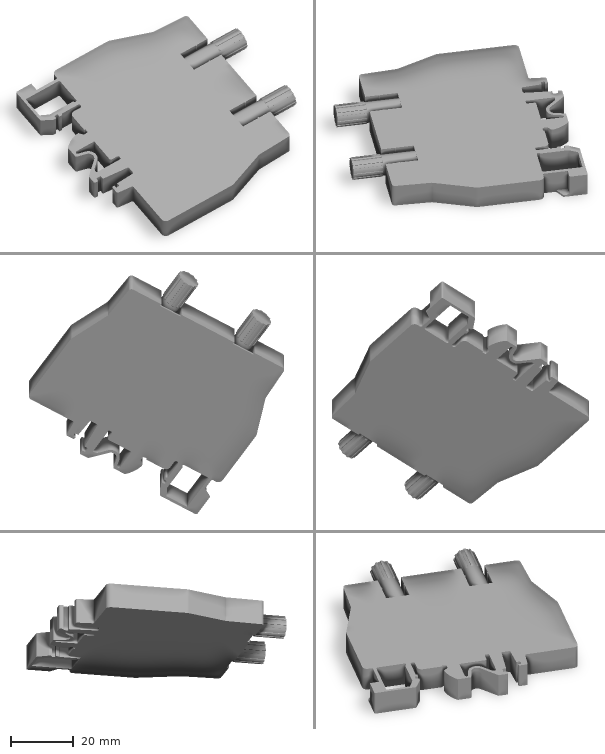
import cadquery as cq
import math


housing_width = 69.5
housing_thickness = 7.9
base_thickness = 0.7
housing_top = 62.1
shoulder_low = 35.8
shoulder_high = 49.45
shoulder_inset = 5.15
top_inset = 5.7
housing_bottom = 9.35
clip_top = 14.0

corner_radius = 1.6
slit_corner_radius = 1.6
top_radius = 1.1
shoulder_radius = 1.8
small_radius = 0.5
groove_radius = 0.3

screw_inset = 21.1
screw_tip = 72.4
knurl_radius = 3.6
shank_radius = 3.3
screw_axis_z = housing_thickness - shank_radius
knurl_length = 9.8
tooth_count = 12
tooth_width = 0.7
tooth_chamfer = knurl_radius - shank_radius
slot_width = 7.6
slot_depth = 10.5
slot_mouth = 0.7
slot_rib_radius = 0.3
slot_rib_depth = 4.5
slot_end = housing_top - slot_depth
screw_centres = (screw_inset, housing_width - screw_inset)

neck_left = 3.05
frame_left = 4.1
frame_right = 13.4
frame_floor = 0.95
hook_outer = 15.35
hook_tip = 15.85
hook_groove_floor = 14.8
hook_groove_low = 4.6
hook_groove_high = 5.9
clip_heel = 13.7
slit_right = 16.7
ledge_top = 9.7
ledge_shoulder = 7.9
ledge_bottom = 5.95
gusset_size = 0.95

foot_floor = 1.0
foot_tip = 24.7
foot_neck = 26.15
cavity_left = 30.25
cavity_right = 40.75
cavity_slot_left = 39.3
cavity_slot_top = 12.45
arch_x = 34.75
arch_y = 4.0
arch_inner_radius = 1.9
spring_thickness = 1.0
arch_outer_radius = arch_inner_radius + spring_thickness
spring_left_angle = 75.0
spring_right_angle = 49.0
pocket_left = 30.7
pocket_floor = 1.95
pocket_right_y = 2.45
heel_floor = 3.0
heel_radius = 1.8

lever_tip = 43.95
lever_groove_floor = 42.7
lever_groove_low = 1.6
lever_groove_high = 3.2
gap_left = 44.9
gap_right = 47.7
gap_top = 12.45
leg_left = 48.3
leg_right = 51.25
leg_root = 51.85
leg_floor = 3.7
leg_groove_floor = 49.3
leg_groove_low = 4.6
leg_groove_high = 5.9


def arch_point(radius, angle_from_top):
    """Point on the spring arch; negative angles lie to the left of the crown."""
    angle = math.radians(angle_from_top)
    return (arch_x + radius * math.sin(angle), arch_y + radius * math.cos(angle))


def leg_point(radius, side_angle, y):
    """Point at height y on the straight spring leg that leaves the arch tangentially."""
    start_x, start_y = arch_point(radius, side_angle)
    return (start_x + (start_y - y) / math.tan(math.radians(side_angle)), y)


def prism(wire, thickness=housing_thickness):
    return wire.close().extrude(thickness)


def box(x0, x1, y0, y1, z0, z1):
    return cq.Workplane("XY").box(x1 - x0, y1 - y0, z1 - z0, centered=False).translate((x0, y0, z0))


def round_corners(body, corners, radius):
    """Fillet the Z-parallel edges that stand at the given XY corners."""
    for x, y in corners:
        reach = 0.035
        picker = cq.selectors.BoxSelector((x - reach, y - reach, -0.7), (x + reach, y + reach, housing_thickness + 0.7))
        body = body.edges("|Z").edges(picker).fillet(radius)
    return body


def make_housing():
    outline = (
        cq.Workplane("XY")
        .moveTo(neck_left, clip_top)
        .lineTo(0, clip_top)
        .lineTo(0, shoulder_low)
        .lineTo(shoulder_inset, shoulder_high)
        .lineTo(top_inset, housing_top)
        .lineTo(housing_width - top_inset, housing_top)
        .lineTo(housing_width - shoulder_inset, shoulder_high)
        .lineTo(housing_width, shoulder_low)
        .lineTo(housing_width, housing_bottom)
        .lineTo(leg_root, housing_bottom)
        .lineTo(leg_right, leg_floor)
        .lineTo(leg_left, leg_floor)
        .lineTo(leg_left, leg_groove_low)
        .lineTo(leg_groove_floor, leg_groove_low)
        .lineTo(leg_groove_floor, leg_groove_high)
        .lineTo(48.1, leg_groove_high)
        .lineTo(gap_right, gap_top)
        .lineTo(gap_left, gap_top)
        .lineTo(44.0, lever_groove_high)
        .lineTo(lever_groove_floor, lever_groove_high)
        .lineTo(lever_groove_floor, lever_groove_low)
        .lineTo(lever_tip, lever_groove_low - 0.2)
        .lineTo(lever_tip, 0)
        .lineTo(*leg_point(arch_inner_radius, spring_right_angle, 0))
        .lineTo(*arch_point(arch_inner_radius, spring_right_angle))
        .threePointArc(arch_point(arch_inner_radius, 0), arch_point(arch_inner_radius, -spring_left_angle))
        .lineTo(*leg_point(arch_inner_radius, -spring_left_angle, foot_floor))
        .lineTo(27.6, foot_floor)
        .threePointArc((25.9, 3.2), (foot_tip, 6.4))
        .lineTo(foot_tip, 7.1)
        .lineTo(foot_neck, 8.1)
        .lineTo(foot_neck, 9.8)
        .lineTo(foot_tip, 9.8)
        .lineTo(foot_tip, housing_bottom)
        .lineTo(slit_right, housing_bottom)
        .lineTo(slit_right, clip_top - 0.7)
        .threePointArc(((slit_right + hook_outer) / 2, clip_top), (hook_outer, clip_top - 0.7))
        .lineTo(hook_outer, 7.2)
        .lineTo(hook_tip, 6.8)
        .lineTo(hook_tip, hook_groove_high)
        .lineTo(hook_groove_floor, hook_groove_high)
        .lineTo(hook_groove_floor, hook_groove_low)
        .lineTo(hook_tip, hook_groove_low)
        .lineTo(hook_tip, 3.55)
        .lineTo(clip_heel, 0)
        .lineTo(0, 0)
        .lineTo(0, ledge_shoulder)
        .lineTo(neck_left, ledge_top)
    )
    body = prism(outline)
    body = round_corners(body, [(0, clip_top), (housing_width, housing_bottom)], corner_radius)
    body = round_corners(body, [(slit_right, housing_bottom)], slit_corner_radius)
    body = round_corners(body, [(top_inset, housing_top), (housing_width - top_inset, housing_top)], top_radius)
    body = round_corners(body, [(0, shoulder_low), (housing_width, shoulder_low)], shoulder_radius)
    small_corners = [
        (neck_left, clip_top),
        (0, 0),
        (clip_heel, 0),
        leg_point(arch_inner_radius, -spring_left_angle, foot_floor),
        leg_point(arch_inner_radius, spring_right_angle, 0),
        (lever_tip, 0),
        (gap_left, gap_top),
        (gap_right, gap_top),
        (leg_left, leg_floor),
        (leg_right, leg_floor),
        (leg_root, housing_bottom),
        (foot_neck, 9.8),
    ]
    body = round_corners(body, small_corners, small_radius)
    groove_corners = [
        (hook_groove_floor, hook_groove_low),
        (lever_groove_floor, lever_groove_low),
        (leg_groove_floor, leg_groove_low),
    ]
    return round_corners(body, groove_corners, groove_radius)


def make_frame_window():
    window = prism(
        cq.Workplane("XY")
        .moveTo(frame_left, frame_floor)
        .lineTo(frame_left, clip_top)
        .lineTo(frame_right, clip_top)
        .lineTo(frame_right, 3.8)
        .lineTo(11.9, frame_floor)
    )
    window = round_corners(window, [(frame_left, clip_top)], small_radius)
    relief_radius = small_radius
    relief = (
        cq.Workplane("XY")
        .center(frame_right, clip_top - relief_radius)
        .circle(relief_radius)
        .extrude(housing_thickness)
    )
    return window.union(relief)


def make_spring_cavity():
    pocket_right = leg_point(arch_outer_radius, -spring_left_angle, pocket_right_y)
    heel = leg_point(arch_outer_radius, spring_right_angle, heel_floor)
    cavity = prism(
        cq.Workplane("XY")
        .moveTo(cavity_left, pocket_right_y)
        .threePointArc((pocket_left, pocket_floor), pocket_right)
        .lineTo(*arch_point(arch_outer_radius, -spring_left_angle))
        .threePointArc(arch_point(arch_outer_radius, 0), arch_point(arch_outer_radius, spring_right_angle))
        .lineTo(*heel)
        .lineTo(cavity_right, heel_floor)
        .lineTo(cavity_right, cavity_slot_top)
        .lineTo(cavity_slot_left, cavity_slot_top)
        .lineTo(cavity_slot_left, housing_bottom)
        .lineTo(cavity_left, housing_bottom)
    )
    slot_corners = [(cavity_slot_left, cavity_slot_top), (cavity_slot_left, housing_bottom)]
    cavity = round_corners(cavity, slot_corners, small_radius)
    return round_corners(cavity, [heel], heel_radius)


def make_ledge_recess():
    """Recess above the thin ledge left of the neck, less a small rounded gusset in its outer corner."""
    recess = box(0, neck_left, ledge_bottom, ledge_top, base_thickness, housing_thickness)
    gusset = (
        cq.Workplane("YZ")
        .moveTo(ledge_bottom, base_thickness)
        .lineTo(ledge_bottom + gusset_size, base_thickness)
        .radiusArc((ledge_bottom, base_thickness + gusset_size), gusset_size)
        .close()
        .extrude(gusset_size)
    )
    return recess.cut(gusset)


def make_screw_slot(x):
    half = slot_width / 2
    slot = box(x - half, x + half, slot_end, housing_top, base_thickness, housing_thickness)
    mouth = box(x - half, x + half, housing_top - slot_mouth, housing_top, 0, housing_thickness)
    ribs = (
        cq.Workplane("XY", origin=(x, housing_top - slot_rib_depth, base_thickness))
        .pushPoints([(-half, 0), (half, 0)])
        .circle(slot_rib_radius)
        .extrude(housing_thickness - base_thickness)
    )
    return slot.union(mouth).cut(ribs)


def make_screw():
    """Screw along +Y with its axis on the Y axis and its inner end at the origin."""
    length = screw_tip - slot_end
    shank = cq.Workplane("XZ").circle(shank_radius).extrude(-length)
    knurl_blank = (
        cq.Workplane("XZ", origin=(0, length - knurl_length, 0))
        .circle(knurl_radius)
        .extrude(-knurl_length)
        .faces("<Y")
        .chamfer(tooth_chamfer)
    )
    bars = cq.Workplane("XY")
    for index in range(tooth_count // 2):
        bar = cq.Workplane("XY").box(tooth_width, length, 3 * knurl_radius, centered=(True, False, True))
        bars = bars.union(bar.rotate((0, 0, 0), (0, 1, 0), index * 360 / tooth_count))
    return shank.union(knurl_blank.intersect(bars))


result = make_housing().cut(make_frame_window()).cut(make_spring_cavity()).cut(make_ledge_recess())
for centre in screw_centres:
    result = result.cut(make_screw_slot(centre))
    result = result.union(make_screw().translate((centre, slot_end, screw_axis_z)))